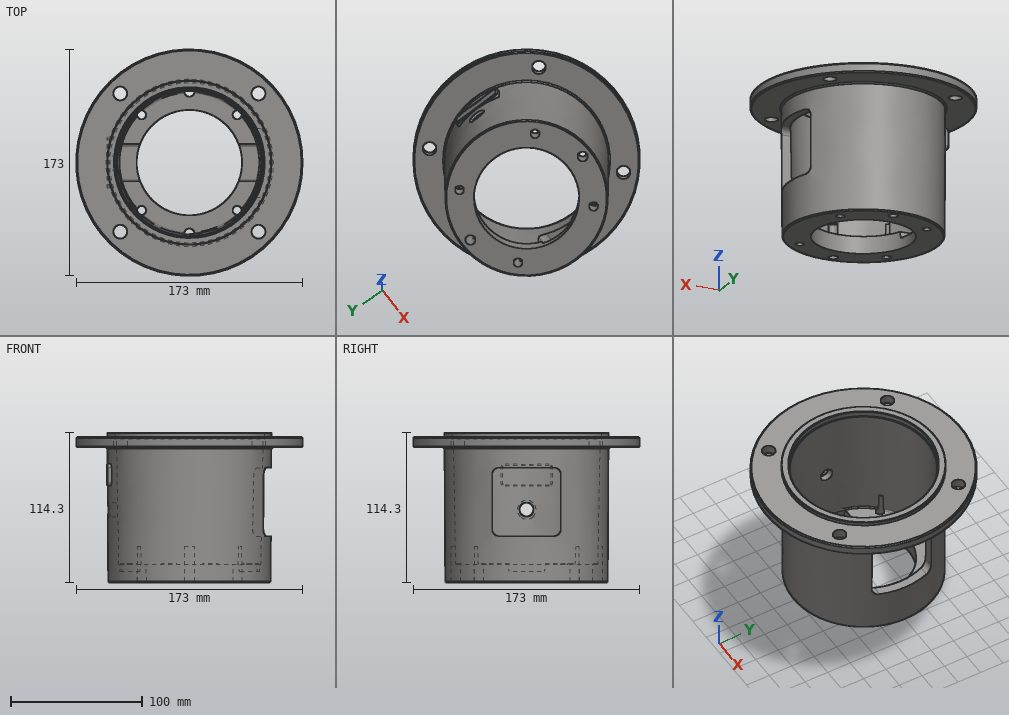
import cadquery as cq

TOTAL_HEIGHT = 114.3
FLANGE_RADIUS = 86.5

PILOT_RADIUS = 62.8
PILOT_HEIGHT = 3.3
PILOT_CHAMFER = 0.5
FLANGE_THICKNESS = 8.0
FLANGE_EDGE_CHAMFER = 1.0
FLANGE_ROOT = 1.2
FLANGE_TOP = TOTAL_HEIGHT - PILOT_HEIGHT
FLANGE_BOTTOM = FLANGE_TOP - FLANGE_THICKNESS

BODY_TOP_RADIUS = 62.6
BODY_BOTTOM_RADIUS = 62.1
BODY_BOTTOM_CHAMFER = 1.0

COUNTERBORE_RADIUS = 57.0
COUNTERBORE_DEPTH = 4.7
COUNTERBORE_CHAMFER = 0.5
BORE_TOP_RADIUS = 56.0
BORE_FLOOR_RADIUS = 54.3
FLOOR_THICKNESS = 13.8
FLOOR_FILLET = 1.0
SHAFT_RADIUS = 40.1

FLOOR_DRILL_DEPTH = 2 * FLOOR_THICKNESS

FLANGE_BOLT_CIRCLE_RADIUS = 74.5
FLANGE_HOLE_DIAMETER = 10.4
FLOOR_BOLT_CIRCLE_RADIUS = 51.5
FLOOR_HOLE_DIAMETER = 6.7

WALL_HOLE_CIRCLE_RADIUS = 54.1
WALL_HOLE_DIAMETER = 7.6

CHANNEL_TOP_WIDTH = 28.7
CHANNEL_BOTTOM_WIDTH = 27.0
CHANNEL_DEPTH = 5.2
CHANNEL_FILLET = 1.0

WINDOW_WIDTH = 52.5
WINDOW_BOTTOM = 35.5
WINDOW_HEIGHT = 52.2
WINDOW_CORNER_RADIUS = 5.5

ACCESS_HOLE_Z = 55.7
ACCESS_HOLE_OUTER_RADIUS = 5.5
ACCESS_HOLE_INNER_RADIUS = 5.0
COUNTERSINK_RADIUS = 7.6
ACCESS_HOLE_OVERRUN = 1.7

PAD_WIDTH = 39.3
PAD_HEIGHT = 17.0
PAD_CENTER_Z = 82.2
PAD_FACE_RADIUS = 63.1
PAD_CORNER_RADIUS = 2.8
PAD_EDGE_CHAMFER = 1.0
PAD_ROOT_DEPTH = 5.2


def revolved_housing():
    """Body, flange, pilot and stepped bore as one revolved section."""
    bore_step = TOTAL_HEIGHT - COUNTERBORE_DEPTH
    section = (
        cq.Workplane("XZ")
        .moveTo(SHAFT_RADIUS, 0)
        .lineTo(BODY_BOTTOM_RADIUS - BODY_BOTTOM_CHAMFER, 0)
        .lineTo(BODY_BOTTOM_RADIUS, BODY_BOTTOM_CHAMFER)
        .lineTo(BODY_TOP_RADIUS, FLANGE_BOTTOM - FLANGE_ROOT)
        .lineTo(BODY_TOP_RADIUS + FLANGE_ROOT, FLANGE_BOTTOM)
        .lineTo(FLANGE_RADIUS - FLANGE_EDGE_CHAMFER, FLANGE_BOTTOM)
        .lineTo(FLANGE_RADIUS, FLANGE_BOTTOM + FLANGE_EDGE_CHAMFER)
        .lineTo(FLANGE_RADIUS, FLANGE_TOP - FLANGE_EDGE_CHAMFER)
        .lineTo(FLANGE_RADIUS - FLANGE_EDGE_CHAMFER, FLANGE_TOP)
        .lineTo(PILOT_RADIUS, FLANGE_TOP)
        .lineTo(PILOT_RADIUS, TOTAL_HEIGHT - PILOT_CHAMFER)
        .lineTo(PILOT_RADIUS - PILOT_CHAMFER, TOTAL_HEIGHT)
        .lineTo(COUNTERBORE_RADIUS + COUNTERBORE_CHAMFER, TOTAL_HEIGHT)
        .lineTo(COUNTERBORE_RADIUS, TOTAL_HEIGHT - COUNTERBORE_CHAMFER)
        .lineTo(COUNTERBORE_RADIUS, bore_step)
        .lineTo(BORE_TOP_RADIUS, bore_step)
        .lineTo(BORE_FLOOR_RADIUS, FLOOR_THICKNESS + FLOOR_FILLET)
        .radiusArc((BORE_FLOOR_RADIUS - FLOOR_FILLET, FLOOR_THICKNESS), FLOOR_FILLET)
        .lineTo(SHAFT_RADIUS, FLOOR_THICKNESS)
        .close()
    )
    return section.revolve(360, (0, 0, 0), (0, 1, 0))


def bolt_holes(circle_radius, diameter, depth):
    """Four vertical drills at 45 degrees to the axes, rising from the lower end face."""
    return (
        cq.Workplane("XY")
        .polarArray(circle_radius, 45, 360, 4)
        .circle(diameter / 2)
        .extrude(depth)
    )


def wall_holes():
    """Two vertical drills on the Y axis, blind in the wall above the floor."""
    return (
        cq.Workplane("XY")
        .polarArray(WALL_HOLE_CIRCLE_RADIUS, 90, 360, 2)
        .circle(WALL_HOLE_DIAMETER / 2)
        .extrude(FLOOR_DRILL_DEPTH)
    )


def floor_channel():
    """Channel along X with sloping sides, ending at the bore wall."""
    bottom = FLOOR_THICKNESS - CHANNEL_DEPTH
    channel = (
        cq.Workplane("YZ")
        .moveTo(-CHANNEL_BOTTOM_WIDTH / 2, bottom)
        .lineTo(CHANNEL_BOTTOM_WIDTH / 2, bottom)
        .lineTo(CHANNEL_TOP_WIDTH / 2, FLOOR_THICKNESS)
        .lineTo(-CHANNEL_TOP_WIDTH / 2, FLOOR_THICKNESS)
        .close()
        .extrude(PILOT_RADIUS, both=True)
        .edges("|X and <Z")
        .fillet(CHANNEL_FILLET)
    )
    bore_limit = (
        cq.Workplane("XY")
        .circle(BORE_FLOOR_RADIUS - FLOOR_FILLET)
        .extrude(FLOOR_THICKNESS)
    )
    return channel.intersect(bore_limit)


def window():
    """Rounded rectangular opening through the +X wall."""
    return (
        cq.Workplane("YZ")
        .center(0, WINDOW_BOTTOM + WINDOW_HEIGHT / 2)
        .rect(WINDOW_WIDTH, WINDOW_HEIGHT)
        .extrude(FLANGE_RADIUS)
        .edges("|X")
        .fillet(WINDOW_CORNER_RADIUS)
    )


def access_hole():
    """Slightly tapered hole through the -X wall with a 90 degree countersink on the outside."""
    countersink_depth = COUNTERSINK_RADIUS - ACCESS_HOLE_OUTER_RADIUS
    countersink_floor = -BODY_TOP_RADIUS + countersink_depth
    inner_end = -BORE_FLOOR_RADIUS + ACCESS_HOLE_OVERRUN
    profile = (
        cq.Workplane("XZ", origin=(0, 0, ACCESS_HOLE_Z))
        .moveTo(-BODY_TOP_RADIUS, 0)
        .lineTo(-BODY_TOP_RADIUS, COUNTERSINK_RADIUS)
        .lineTo(countersink_floor, ACCESS_HOLE_OUTER_RADIUS)
        .lineTo(inner_end, ACCESS_HOLE_INNER_RADIUS)
        .lineTo(inner_end, 0)
        .close()
    )
    return profile.revolve(360, (0, 0, 0), (1, 0, 0))


def nameplate_pad():
    """Flat rounded pad standing slightly proud of the -X wall."""
    return (
        cq.Workplane("YZ", origin=(-PAD_FACE_RADIUS, 0, PAD_CENTER_Z))
        .rect(PAD_WIDTH, PAD_HEIGHT)
        .extrude(PAD_ROOT_DEPTH)
        .edges("|X")
        .fillet(PAD_CORNER_RADIUS)
        .faces("<X")
        .chamfer(PAD_EDGE_CHAMFER)
    )


result = (
    revolved_housing()
    .union(nameplate_pad())
    .cut(bolt_holes(FLANGE_BOLT_CIRCLE_RADIUS, FLANGE_HOLE_DIAMETER, TOTAL_HEIGHT))
    .cut(bolt_holes(FLOOR_BOLT_CIRCLE_RADIUS, FLOOR_HOLE_DIAMETER, FLOOR_DRILL_DEPTH))
    .cut(wall_holes())
    .cut(floor_channel())
    .cut(window())
    .cut(access_hole())
)